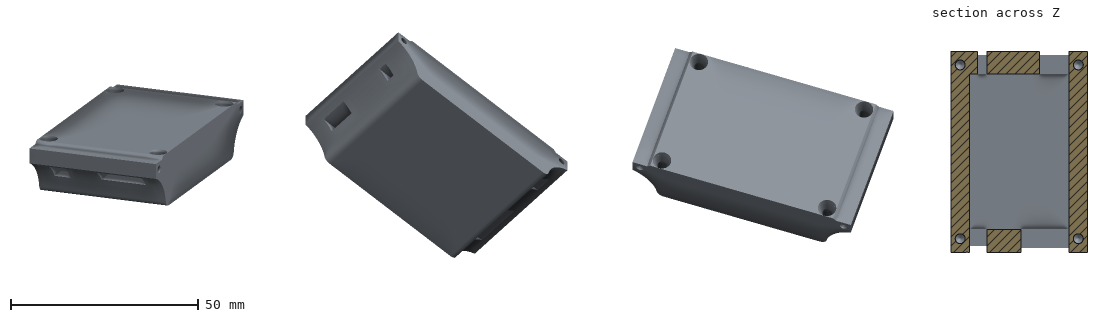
import cadquery as cq
import math

WIDTH = 36.6
LENGTH = 61.4
HEIGHT = 15.0
HALF_LENGTH = LENGTH / 2

LID_THICKNESS = 0.85
LID_INSET = 4.1
LID_BEVEL = LID_THICKNESS

CASE_HEIGHT = HEIGHT - LID_THICKNESS
FLANGE_DEPTH = 4.2
FLARE_MID_INSET = 4.2
FLARE_MID_Z = 7.1
FLARE_FOOT_INSET = 7.0
BOTTOM_ROUNDING = 2.0

SIDE_WALL = 5.05
END_INSET = 10.0
FLOOR_THICKNESS = 2.0

PIN_HOLE_DIAMETER = 2.0
PIN_HOLE_INSET = FLANGE_DEPTH / 2

SCREW_X = WIDTH / 2 - SIDE_WALL / 2
SCREW_Y = HALF_LENGTH - 7.5
SCREW_RADIUS = 2.5 / 2
HEAD_RADIUS = 2.45
SEAM_RADIUS = 2.1
SCREW_DEPTH = 8.0
DRILL_POINT_ANGLE = 118.0

OPENING_TOP = 8.95
OPENING_BOTTOM = 6.25
DEEP_BOTTOM = 5.45
SMALL_OPENING_END = 9.6
FRONT_SMALL_START = SIDE_WALL
BACK_SMALL_START = 7.2
LARGE_OPENING_END = WIDTH - SIDE_WALL
FRONT_LARGE_START = 18.8
BACK_LARGE_START = 23.75


def make_case_blank():
    """Side profile with flared ends and rounded bottom corners, extruded across the width."""
    flange_bottom = CASE_HEIGHT - FLANGE_DEPTH
    flare_mid = HALF_LENGTH - FLARE_MID_INSET
    flare_foot = HALF_LENGTH - FLARE_FOOT_INSET
    return (
        cq.Workplane("YZ")
        .moveTo(-HALF_LENGTH, CASE_HEIGHT)
        .lineTo(HALF_LENGTH, CASE_HEIGHT)
        .lineTo(HALF_LENGTH, flange_bottom)
        .threePointArc((flare_mid, FLARE_MID_Z), (flare_foot, 0))
        .lineTo(-flare_foot, 0)
        .threePointArc((-flare_mid, FLARE_MID_Z), (-HALF_LENGTH, flange_bottom))
        .close()
        .extrude(WIDTH / 2, both=True)
        .edges("|X and <Z")
        .fillet(BOTTOM_ROUNDING)
    )


def make_cavity():
    """Open-topped interior, closed by the lid."""
    return (
        cq.Workplane("XY", origin=(0, 0, FLOOR_THICKNESS))
        .rect(WIDTH - 2 * SIDE_WALL, LENGTH - 2 * END_INSET)
        .extrude(CASE_HEIGHT - FLOOR_THICKNESS)
    )


def make_pin_holes():
    """One hole across the full width in each end flange."""
    pin_y = HALF_LENGTH - PIN_HOLE_INSET
    return (
        cq.Workplane("YZ")
        .pushPoints([(-pin_y, CASE_HEIGHT - PIN_HOLE_INSET), (pin_y, CASE_HEIGHT - PIN_HOLE_INSET)])
        .circle(PIN_HOLE_DIAMETER / 2)
        .extrude(WIDTH / 2, both=True)
    )


def make_screw_holes():
    """Four countersunk blind holes, each revolved from its half section."""
    countersink_slope = (HEAD_RADIUS - SEAM_RADIUS) / LID_THICKNESS
    countersink_depth = (HEAD_RADIUS - SCREW_RADIUS) / countersink_slope
    point_depth = SCREW_RADIUS / math.tan(math.radians(DRILL_POINT_ANGLE / 2))
    hole = (
        cq.Workplane("XZ")
        .moveTo(0, 0)
        .lineTo(HEAD_RADIUS, 0)
        .lineTo(SCREW_RADIUS, -countersink_depth)
        .lineTo(SCREW_RADIUS, -SCREW_DEPTH)
        .lineTo(0, -SCREW_DEPTH - point_depth)
        .close()
        .revolve(360, (0, 0), (0, 1))
    )
    holes = cq.Workplane("XY")
    for x in (-SCREW_X, SCREW_X):
        for y in (-SCREW_Y, SCREW_Y):
            holes = holes.add(hole.translate((x, y, HEIGHT)))
    return holes.combine()


def make_opening(start, end, bottom, side):
    """Cutter through one end wall; side is -1 for the front wall and 1 for the back wall."""
    center_x = (start + end - WIDTH) / 2
    center_y = side * (HALF_LENGTH - END_INSET / 2)
    center_z = (OPENING_TOP + bottom) / 2
    return (
        cq.Workplane("XY")
        .box(end - start, END_INSET, OPENING_TOP - bottom)
        .translate((center_x, center_y, center_z))
    )


def make_case(screw_holes):
    """Hollow case with pin holes, screw holes and connector openings."""
    return (
        make_case_blank()
        .cut(make_cavity())
        .cut(make_pin_holes())
        .cut(screw_holes)
        .cut(make_opening(FRONT_SMALL_START, SMALL_OPENING_END, DEEP_BOTTOM, -1))
        .cut(make_opening(FRONT_LARGE_START, LARGE_OPENING_END, OPENING_BOTTOM, -1))
        .cut(make_opening(BACK_SMALL_START, SMALL_OPENING_END, OPENING_BOTTOM, 1))
        .cut(make_opening(BACK_LARGE_START, LARGE_OPENING_END, OPENING_BOTTOM, 1))
    )


def make_lid(screw_holes):
    """Bevelled plate lying on the case, pierced by the countersinks."""
    lower_end = HALF_LENGTH - LID_INSET
    upper_end = lower_end - LID_BEVEL
    return (
        cq.Workplane("YZ")
        .polyline([
            (-lower_end, CASE_HEIGHT),
            (lower_end, CASE_HEIGHT),
            (upper_end, HEIGHT),
            (-upper_end, HEIGHT),
        ])
        .close()
        .extrude(WIDTH / 2, both=True)
        .cut(screw_holes)
    )


screw_holes = make_screw_holes()
case = make_case(screw_holes)
lid = make_lid(screw_holes)

result = cq.Compound.makeCompound([case.solids().val(), lid.solids().val()])